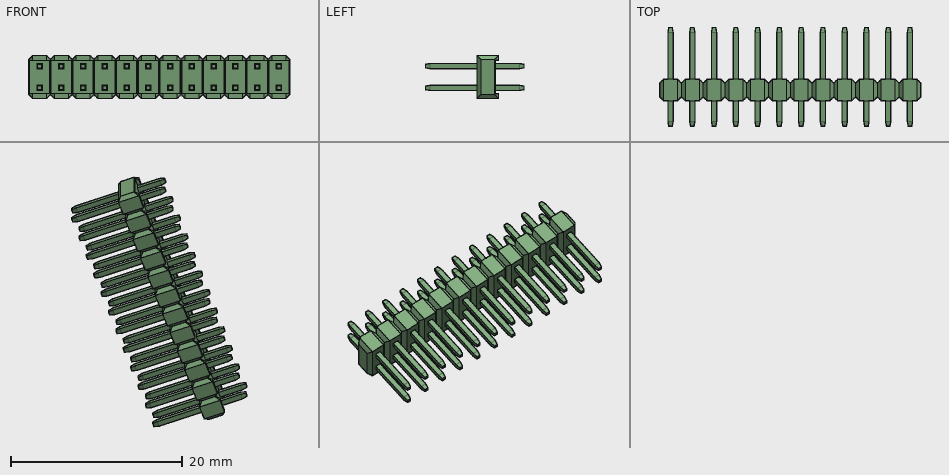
import cadquery as cq


total_length = 30.48
total_depth = 11.55
body_height = 5.03

column_count = 12
pitch = total_length / column_count
row_offset = pitch / 2

body_depth = pitch
body_chamfer = 0.45
slot_depth = 0.37
lip_height = 0.58
slot_height = body_height - 2 * lip_height
body_front = -body_depth / 2

pin_width = 0.65
tip_width = 0.43
tip_length = 0.58
front_pin_reach = 3.0
pin_start = body_front - front_pin_reach
pin_end = pin_start + total_depth

column_positions = [(i - (column_count - 1) / 2) * pitch for i in range(column_count)]


def body_cell(x):
    """One column of the body, with the edges around both of its X faces chamfered."""
    cell = cq.Workplane("XY").box(pitch, body_depth, body_height)
    return cell.faces("<X or >X").edges().chamfer(body_chamfer).translate((x, 0, 0))


def front_slot():
    """Shallow channel along the full front face, leaving a lip above and below."""
    slot = cq.Workplane("XY").box(total_length, slot_depth, slot_height)
    return slot.translate((0, body_front + slot_depth / 2, 0))


def pin_tip(base_y, end_y):
    """Taper from the full pin section at base_y to the small end face at end_y."""
    return (
        cq.Workplane("XZ", origin=(0, base_y, 0))
        .rect(pin_width, pin_width)
        .workplane(offset=base_y - end_y)
        .rect(tip_width, tip_width)
        .loft()
    )


def make_pin():
    """A pin on the Y axis, tapered at both ends."""
    shank_start = pin_start + tip_length
    shank_end = pin_end - tip_length
    shank = cq.Workplane("XY").box(pin_width, shank_end - shank_start, pin_width)
    shank = shank.translate((0, (shank_start + shank_end) / 2, 0))
    return shank.union(pin_tip(shank_start, pin_start)).union(pin_tip(shank_end, pin_end))


result = body_cell(column_positions[0])
for column_x in column_positions[1:]:
    result = result.union(body_cell(column_x))
result = result.cut(front_slot())

pin = make_pin()
for column_x in column_positions:
    for row_z in (-row_offset, row_offset):
        result = result.union(pin.translate((column_x, 0, row_z)))